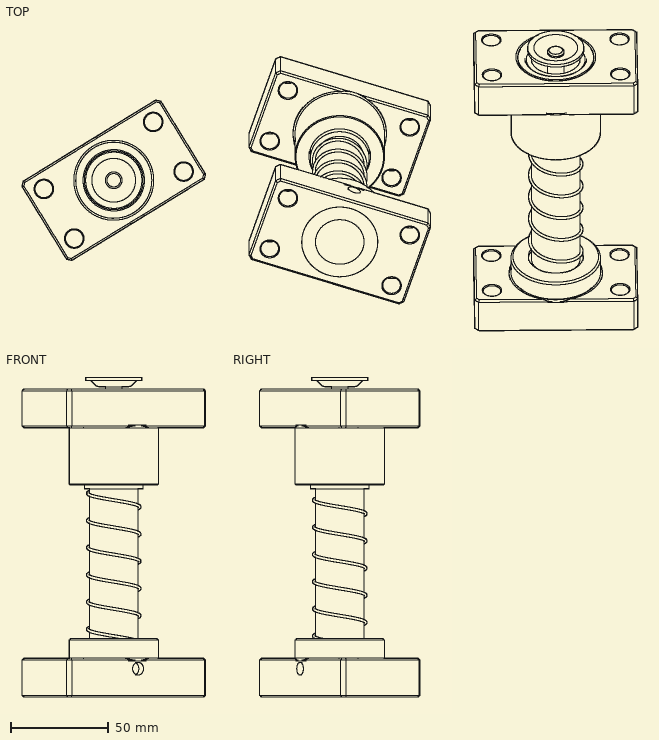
import cadquery as cq
import math

TOTAL_HEIGHT = 164.8
PLATE_THICKNESS = 20.1
UPPER_PLATE_TOP = 158.8
UPPER_PLATE_BOTTOM = UPPER_PLATE_TOP - PLATE_THICKNESS
COLLAR_TOP = 30.3
BUSH_BOTTOM = 109.4
CAGE_TOP = 157.2
CAGE_BOTTOM = 107.3

PLATE_LENGTH = 84.0
PLATE_WIDTH = 48.0
PLATE_TURN = 31.5
PLATE_CORNER_CHAMFER = 2.0
PLATE_EDGE_CHAMFER = 1.0
MOUNT_PITCH_X = 66.0
MOUNT_PITCH_Y = 30.0
MOUNT_DIAMETER = 9.0
MOUNT_CHAMFER = 0.5
FLANGE_RECESS_RADIUS = 24.0
FLANGE_RECESS_DEPTH = 1.5
SHANK_RIM_CHAMFER = 1.0

SET_HOLE_RADIUS = 3.3
SET_HOLE_DEPTH = 12.4
SET_HOLE_HEIGHT = 14.7

PILLAR_RADIUS = 12.5
SHANK_RADIUS = 19.6
FLANGE_RADIUS = 23.0
FLANGE_SEAT_CHAMFER = FLANGE_RECESS_DEPTH
COLLAR_CHAMFER = 1.0
BUSH_CHAMFER = 0.5
BUSH_BORE_RADIUS = 15.8
BUSH_MOUTH_FILLET = 1.5
CAGE_RADIUS = 15.2

SCREW_RADIUS = 4.3
SCREW_TOP = 163.1
SCREW_CHAMFER = 0.8
CAP_RADIUS = 14.5
CAP_THICKNESS = 1.6
CAP_HEIGHT = 5.0
CAP_FLOOR_RADIUS = 7.1
CAP_BEND_RADIUS = 2.1
CAP_SLOPE = math.radians(45)

WIRE_RADIUS = 0.74
SPRING_CLEARANCE = 0.08
SPRING_RADIUS = 13.3
SPRING_PITCH = 14.0
SPRING_TURNS = 5.5
SPRING_START_ANGLE = -37.0
SPRING_TOP = CAGE_BOTTOM - WIRE_RADIUS - SPRING_CLEARANCE
SPRING_BOTTOM = SPRING_TOP - SPRING_TURNS * SPRING_PITCH
SPRING_SEAT_RADIUS = SPRING_RADIUS + WIRE_RADIUS + SPRING_CLEARANCE
SPRING_SEAT_FLOOR = SPRING_BOTTOM - WIRE_RADIUS - SPRING_CLEARANCE


def cylinder(radius, bottom, top):
    """Upright cylinder on the vertical axis."""
    return cq.Workplane("XY").workplane(offset=bottom).circle(radius).extrude(top - bottom)


def turn(shape):
    """Turn a shape about the vertical axis to the angle of the plates."""
    return shape.rotate((0, 0, 0), (0, 0, 1), PLATE_TURN)


def make_plate(flange_recess_bottom):
    """Drilled plate with its underside at height zero."""
    plate = (
        cq.Workplane("XY")
        .rect(PLATE_LENGTH, PLATE_WIDTH)
        .extrude(PLATE_THICKNESS)
        .edges("|Z")
        .chamfer(PLATE_CORNER_CHAMFER)
        .faces("<Z or >Z")
        .chamfer(PLATE_EDGE_CHAMFER)
    )
    mount_holes = (
        plate.faces(">Z")
        .workplane(origin=(0, 0, PLATE_THICKNESS))
        .rect(MOUNT_PITCH_X, MOUNT_PITCH_Y, forConstruction=True)
        .vertices()
    )
    plate = mount_holes.hole(MOUNT_DIAMETER)
    plate = plate.edges("%CIRCLE").chamfer(MOUNT_CHAMFER)
    shank_bore = cylinder(SHANK_RADIUS, 0, PLATE_THICKNESS)
    flange_recess = cylinder(
        FLANGE_RECESS_RADIUS, flange_recess_bottom, flange_recess_bottom + FLANGE_RECESS_DEPTH
    )
    return turn(plate.cut(shank_bore).cut(flange_recess))


def make_set_hole():
    """Radial drilling from the long side of the lower plate into the pillar."""
    drilling = (
        cq.Workplane("XZ", origin=(0, -PLATE_WIDTH / 2, SET_HOLE_HEIGHT))
        .circle(SET_HOLE_RADIUS)
        .extrude(-SET_HOLE_DEPTH)
    )
    return turn(drilling)


def make_lower_plate():
    """Plate with the flange recess on top and the set screw hole in its side."""
    return make_plate(PLATE_THICKNESS - FLANGE_RECESS_DEPTH).cut(make_set_hole())


def make_upper_plate():
    """Plate with the flange recess below and a chamfered bore rim on top."""
    plate = make_plate(0).translate((0, 0, UPPER_PLATE_BOTTOM))
    rim = cq.Workplane("XY").add(
        cq.Solid.makeCone(
            SHANK_RADIUS,
            SHANK_RADIUS + SHANK_RIM_CHAMFER,
            SHANK_RIM_CHAMFER,
            pnt=(0, 0, UPPER_PLATE_TOP - SHANK_RIM_CHAMFER),
        )
    )
    return plate.cut(rim)


def make_collar():
    """Flanged sleeve that holds the pillar in the lower plate."""
    flange_bottom = PLATE_THICKNESS - FLANGE_RECESS_DEPTH
    flange = (
        cylinder(FLANGE_RADIUS, flange_bottom, COLLAR_TOP)
        .faces(">Z")
        .chamfer(COLLAR_CHAMFER)
        .faces("<Z")
        .chamfer(FLANGE_SEAT_CHAMFER)
    )
    return (
        flange.union(cylinder(SHANK_RADIUS, 0, flange_bottom))
        .cut(cylinder(PILLAR_RADIUS, 0, COLLAR_TOP))
        .cut(cylinder(SPRING_SEAT_RADIUS, SPRING_SEAT_FLOOR, COLLAR_TOP))
        .cut(make_set_hole())
    )


def make_bush():
    """Flanged guide bush in the upper plate, the top mouth of its bore rounded."""
    flange_top = UPPER_PLATE_BOTTOM + FLANGE_RECESS_DEPTH
    flange = (
        cylinder(FLANGE_RADIUS, BUSH_BOTTOM, flange_top)
        .faces("<Z")
        .chamfer(BUSH_CHAMFER)
        .faces(">Z")
        .chamfer(FLANGE_SEAT_CHAMFER)
    )
    return (
        flange.union(cylinder(SHANK_RADIUS, flange_top, UPPER_PLATE_TOP))
        .cut(cylinder(BUSH_BORE_RADIUS, BUSH_BOTTOM, UPPER_PLATE_TOP))
        .faces(">Z")
        .edges(cq.selectors.RadiusNthSelector(0))
        .fillet(BUSH_MOUTH_FILLET)
    )


def make_cage():
    """Tube that slides on the pillar inside the bush."""
    return cylinder(CAGE_RADIUS, CAGE_BOTTOM, CAGE_TOP).cut(cylinder(PILLAR_RADIUS, CAGE_BOTTOM, CAGE_TOP))


def make_pillar():
    """Guide pillar with a seat for the set screw; its top stays below the top of the cage."""
    return cylinder(PILLAR_RADIUS, 0, UPPER_PLATE_BOTTOM).cut(make_set_hole())


def make_screw():
    """Round stem that stands on the pillar and carries the cap."""
    return cylinder(SCREW_RADIUS, UPPER_PLATE_BOTTOM, SCREW_TOP).faces(">Z").chamfer(SCREW_CHAMFER)


def make_cap():
    """Dished sheet disc: flat rim, sloping wall and a bend into a flat floor around the screw."""
    floor_top = TOTAL_HEIGHT - CAP_HEIGHT + CAP_THICKNESS
    floor_bottom = floor_top - CAP_THICKNESS
    bend_centre = floor_top + CAP_BEND_RADIUS

    def bend_point(radius, angle):
        return CAP_FLOOR_RADIUS + radius * math.sin(angle), bend_centre - radius * math.cos(angle)

    def wall_radius(start, height):
        return start[0] + (height - start[1]) / math.tan(CAP_SLOPE)

    inner = CAP_BEND_RADIUS
    outer = CAP_BEND_RADIUS + CAP_THICKNESS
    inner_end = bend_point(inner, CAP_SLOPE)
    outer_end = bend_point(outer, CAP_SLOPE)
    rim_bottom = TOTAL_HEIGHT - CAP_THICKNESS
    return (
        cq.Workplane("XZ")
        .moveTo(SCREW_RADIUS, floor_bottom)
        .lineTo(CAP_FLOOR_RADIUS, floor_bottom)
        .threePointArc(bend_point(outer, CAP_SLOPE / 2), outer_end)
        .lineTo(wall_radius(outer_end, rim_bottom), rim_bottom)
        .lineTo(CAP_RADIUS, rim_bottom)
        .lineTo(CAP_RADIUS, TOTAL_HEIGHT)
        .lineTo(wall_radius(inner_end, TOTAL_HEIGHT), TOTAL_HEIGHT)
        .lineTo(*inner_end)
        .threePointArc(bend_point(inner, CAP_SLOPE / 2), (CAP_FLOOR_RADIUS, floor_top))
        .lineTo(SCREW_RADIUS, floor_top)
        .close()
        .revolve(360, (0, 0, 0), (0, 1, 0))
    )


def make_spring():
    """Round wire swept along a left-handed helix around the pillar."""
    path = cq.Wire.makeHelix(SPRING_PITCH, SPRING_TURNS * SPRING_PITCH, SPRING_RADIUS, lefthand=True)
    start_plane = cq.Plane(
        origin=(SPRING_RADIUS, 0, 0),
        xDir=(1, 0, 0),
        normal=(0, -2 * math.pi * SPRING_RADIUS, SPRING_PITCH),
    )
    return (
        cq.Workplane(start_plane)
        .circle(WIRE_RADIUS)
        .sweep(cq.Workplane(obj=path), isFrenet=True)
        .rotate((0, 0, 0), (0, 0, 1), SPRING_START_ANGLE)
        .translate((0, 0, SPRING_BOTTOM))
    )


lower_plate = make_lower_plate()
upper_plate = make_upper_plate()
collar = make_collar()
bush = make_bush()
cage = make_cage()
pillar = make_pillar()
screw = make_screw()
cap = make_cap()
spring = make_spring()

result = cq.Compound.makeCompound(
    [
        lower_plate.val(),
        upper_plate.val(),
        collar.val(),
        bush.val(),
        cage.val(),
        pillar.val(),
        screw.val(),
        cap.val(),
        spring.val(),
    ]
)